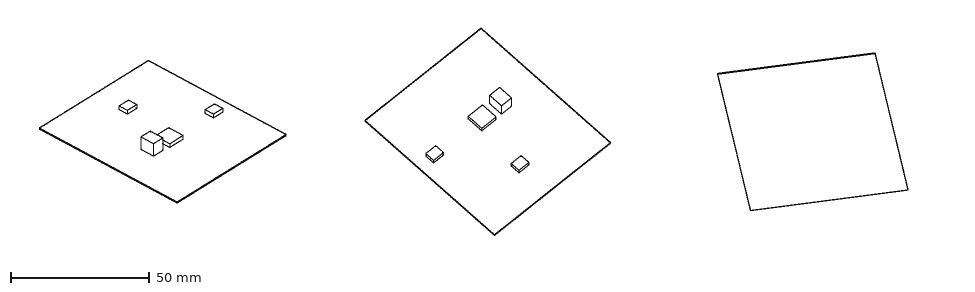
import cadquery as cq

board_length = 68.1
board_width = 57.9
board_thickness = 0.5
overall_height = 6.0

low_height = 1.65
component_depth = 5.0

small_chip_length = 4.1
small_chip_centers = [(5.65, 21.1), (-18.7, 1.65)]

square_chip_side = 7.15
square_chip_center = (5.25, -2.2)

tall_block_length = 6.25
tall_block_height = overall_height - board_thickness
tall_block_center = (5.1, -11.25)


def make_block(length, width, height, center, base_z):
    """Plain block centred on an XY point, with its underside at base_z."""
    block = cq.Workplane("XY").box(length, width, height, centered=(True, True, False))
    return block.translate((*center, base_z))


def make_board():
    return make_block(board_length, board_width, board_thickness, (0, 0), 0)


def make_small_chip(center):
    return make_block(small_chip_length, component_depth, low_height, center, board_thickness)


def make_square_chip():
    return make_block(
        square_chip_side, square_chip_side, low_height, square_chip_center, board_thickness
    )


def make_tall_block():
    return make_block(
        tall_block_length, component_depth, tall_block_height, tall_block_center, board_thickness
    )


board = make_board()
small_chips = [make_small_chip(center) for center in small_chip_centers]
square_chip = make_square_chip()
tall_block = make_tall_block()

result = cq.Compound.makeCompound(
    [board.val(), *[chip.val() for chip in small_chips], square_chip.val(), tall_block.val()]
)